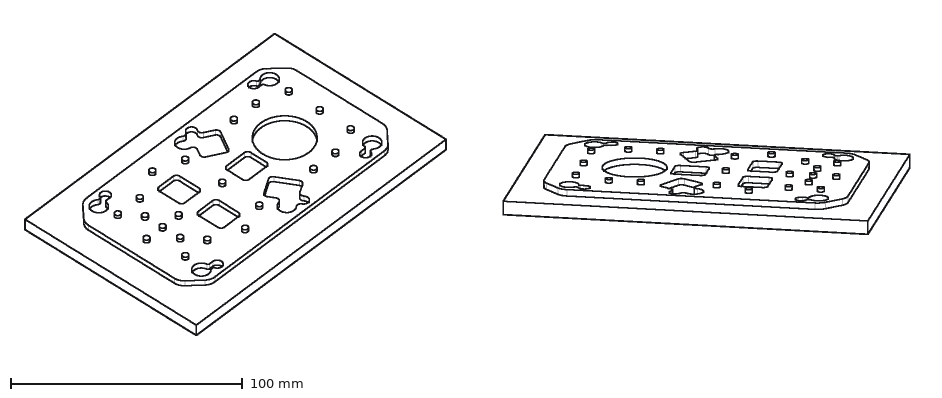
import cadquery as cq

base_width = 100.0
base_length = 160.0
base_thickness = 6.0

panel_width = 74.7
panel_length = 133.3
panel_thickness = 2.9
panel_corner_cut = 9.8
panel_corner_radius = 6.0

total_height = 10.5
pin_diameter = 3.0
pin_height = total_height - base_thickness - panel_thickness

round_pocket_diameter = 28.0
round_pocket_y = 31.5

window_long_side = 15.0
window_short_side = 13.0
window_corner_radius = 2.0
upper_window_y = 7.2
lower_window_x = 11.5
lower_window_y = -23.5

tilted_window_x = 21.3
tilted_window_angle = 30.0

keyhole_x = 30.0
keyhole_end_y = 54.7
keyhole_large_diameter = 8.3
keyhole_small_diameter = 5.1
keyhole_small_shift_x = 2.7
end_keyhole_shift_y = 7.2
middle_keyhole_shift_y = 7.7
keyhole_neck_width = 2.7
keyhole_blend_radius = 0.8
merged_blend_radius = 2.0

side_pin_positions = [
    (18.0, 54.0),
    (23.2, 38.5),
    (23.2, 24.5),
    (21.6, -8.5),
    (27.0, -23.5),
]
center_pin_y_positions = [54.0, -8.5]

cluster_y = -46.7
cluster_cross_radius = 10.2
cluster_outer_x = 19.7
cluster_outer_y = 7.0

panel_floor = base_thickness
panel_top = base_thickness + panel_thickness


def window(width, length, x, y):
    """Rounded rectangular cutter through the panel thickness."""
    return (
        cq.Workplane("XY", origin=(x, y, panel_floor))
        .rect(width, length)
        .extrude(panel_thickness)
        .edges("|Z")
        .fillet(window_corner_radius)
    )


def disc(diameter, x, y):
    """Round cutter through the panel thickness."""
    return cq.Workplane("XY", origin=(x, y, panel_floor)).circle(diameter / 2).extrude(panel_thickness)


def blend_inner_corners(cutter, radius):
    """Round the re-entrant corners of a cutter by growing its outline and shrinking it back."""
    grown = cutter.faces("<Z").wires().toPending().offset2D(radius).extrude(panel_thickness)
    grown_outline = cq.Workplane("XY", origin=(0, 0, panel_floor)).add(grown.faces("<Z").wires().vals())
    return grown_outline.toPending().offset2D(-radius).extrude(panel_thickness)


def keyhole(y, shift_y):
    """Keyhole on the +X side; shift_y is the Y step from the large round to the small one."""
    small_x = keyhole_x + keyhole_small_shift_x
    small_y = y + shift_y
    neck_x = small_x - keyhole_small_diameter / 2 + keyhole_neck_width / 2
    neck = (
        cq.Workplane("XY", origin=(neck_x, (y + small_y) / 2, panel_floor))
        .rect(keyhole_neck_width, abs(shift_y))
        .extrude(panel_thickness)
    )
    large_round = disc(keyhole_large_diameter, keyhole_x, y)
    small_round = disc(keyhole_small_diameter, small_x, small_y)
    return large_round.union(small_round).union(neck)


def tilted_window():
    """Tilted window on the +X side merged with the keyhole at mid-length."""
    center = (tilted_window_x, upper_window_y, 0)
    axis_end = (tilted_window_x, upper_window_y, 1)
    upright = window(window_long_side, window_short_side, tilted_window_x, upper_window_y)
    return upright.rotate(center, axis_end, tilted_window_angle).union(keyhole(0, middle_keyhole_shift_y))


def pin_positions():
    """Centres of all pins."""
    positions = [(0, y) for y in center_pin_y_positions]
    for x, y in side_pin_positions:
        positions += [(x, y), (-x, y)]
    positions += [(0, cluster_y), (cluster_cross_radius, cluster_y), (-cluster_cross_radius, cluster_y)]
    for side in (1, -1):
        positions.append((0, cluster_y + side * cluster_cross_radius))
        positions.append((cluster_outer_x, cluster_y + side * cluster_outer_y))
        positions.append((-cluster_outer_x, cluster_y + side * cluster_outer_y))
    return positions


base = cq.Workplane("XY").rect(base_width, base_length).extrude(base_thickness)

panel = (
    cq.Workplane("XY", origin=(0, 0, panel_floor))
    .rect(panel_width, panel_length)
    .extrude(panel_thickness)
    .edges("|Z")
    .chamfer(panel_corner_cut)
    .edges("|Z")
    .fillet(panel_corner_radius)
)

panel = panel.cut(disc(round_pocket_diameter, 0, round_pocket_y))
panel = panel.cut(window(window_short_side, window_long_side, 0, upper_window_y))
for side in (1, -1):
    panel = panel.cut(window(window_long_side, window_short_side, side * lower_window_x, lower_window_y))

side_cutters = [
    blend_inner_corners(keyhole(keyhole_end_y, -end_keyhole_shift_y), keyhole_blend_radius),
    blend_inner_corners(keyhole(-keyhole_end_y, end_keyhole_shift_y), keyhole_blend_radius),
    blend_inner_corners(tilted_window(), merged_blend_radius),
]
for cutter in side_cutters:
    panel = panel.cut(cutter).cut(cutter.mirror("YZ"))

pins = (
    cq.Workplane("XY", origin=(0, 0, panel_top))
    .pushPoints(pin_positions())
    .circle(pin_diameter / 2)
    .extrude(pin_height)
)

result = base.union(panel).union(pins)